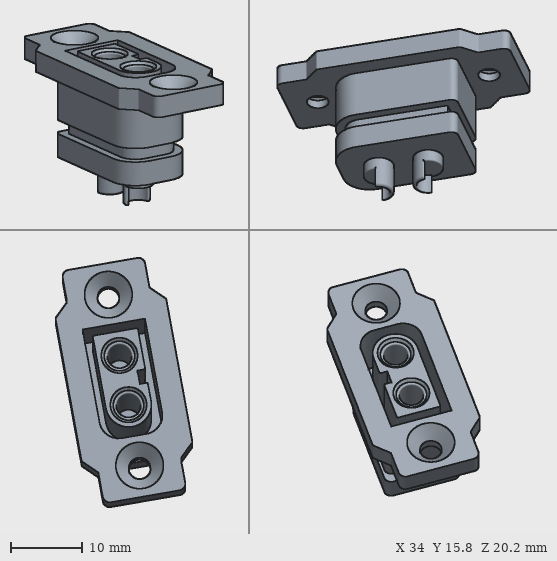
import cadquery as cq

flange_thickness = 3.1
groove_top = -10.1
groove_bottom = -12.1
body_bottom = -15.57
pin_step = -17.35
pin_bottom = -20.2

flange_length = 34
flange_width = 15.8
ear_width = 11.75
ear_corner_radius = 1.0
shoulder_radius = 0.3
shoulder_run = (flange_width - ear_width) / 2

mount_hole_spacing = 25.0
mount_hole_diameter = 3.05
countersink_diameter = 6.7
countersink_angle = 90
ear_root_x = mount_hole_spacing / 2

body_length = 18.5
body_width = 11.0
body_left_radius = 1.02
body_right_radius = 3.8

groove_depth = 1.3
groove_depth_left = 1.63

cavity_wall = 1.05
cavity_floor = 1.02
cavity_depth = -groove_top - cavity_floor
core_width = 6.43
core_left_x = -7.05
core_corner_radius = 0.2
key_width = 1.97
key_depth = 1.12
key_x = -0.05

pin_spacing = 7.2
pin_radius = 2.15
lead_in = 0.4
pin_top = -lead_in
socket_radius = 1.7
socket_depth = 10.2
socket_rounding = 0.2
cup_radius = 1.6
cut_rounding = 0.2
tip_rounding = 0.4
cup_rounding = 0.1

margin = 0.05


def edge_box(x_range, half_y, z_range):
    """Selector for the edges centred within a box that is symmetric about Y = 0."""
    return cq.selectors.BoxSelector(
        (x_range[0] - margin, -half_y - margin, z_range[0] - margin),
        (x_range[1] + margin, half_y + margin, z_range[1] + margin),
    )


def d_prism(left, right, width, left_radius, right_radius, top, bottom):
    """Upright prism with its own corner radius at each end (0 keeps the left corners sharp)."""
    prism = cq.Workplane("XY").box(right - left, width, top - bottom, centered=(False, True, False))
    prism = prism.translate((left, 0, bottom))
    if left_radius > 0:
        prism = prism.edges("|Z and <X").fillet(left_radius)
    return prism.edges("|Z and >X").fillet(right_radius)


def make_flange():
    half_length = flange_length / 2
    half_ear = ear_width / 2
    half_width = flange_width / 2
    shoulder_x = ear_root_x - shoulder_run
    quarter = [(shoulder_x, half_width), (ear_root_x, half_ear), (half_length, half_ear)]
    right_side = quarter + [(x, -y) for x, y in reversed(quarter)]
    outline = right_side + [(-x, -y) for x, y in right_side]
    flange = cq.Workplane("XY").polyline(outline).close().extrude(-flange_thickness)
    flange = flange.edges("|Z and (<X or >X)").fillet(ear_corner_radius)
    shoulder_edges = edge_box((-ear_root_x, ear_root_x), half_width, (-flange_thickness, 0))
    flange = flange.edges("|Z").edges(shoulder_edges).fillet(shoulder_radius)
    mount_points = [(-ear_root_x, 0), (ear_root_x, 0)]
    flange = flange.faces(">Z").workplane(origin=(0, 0, 0)).pushPoints(mount_points)
    return flange.cskHole(mount_hole_diameter, countersink_diameter, countersink_angle)


def make_body():
    half_length = body_length / 2
    body = d_prism(-half_length, half_length, body_width, body_left_radius, body_right_radius,
                   -flange_thickness, body_bottom)
    neck = d_prism(-half_length + groove_depth_left, half_length - groove_depth,
                   body_width - 2 * groove_depth, 0, body_right_radius - groove_depth,
                   groove_top, groove_bottom)
    band = cq.Workplane("XY").workplane(offset=groove_bottom).rect(flange_length, flange_width)
    band = band.extrude(groove_top - groove_bottom)
    return body.cut(band).union(neck)


def make_cavity():
    half_length = body_length / 2
    return d_prism(-half_length + cavity_wall, half_length - cavity_wall, body_width - 2 * cavity_wall,
                   0, body_right_radius - cavity_wall, 0, -cavity_depth)


def make_core():
    half_width = core_width / 2
    round_x = pin_spacing / 2
    key_left = key_x - key_width / 2
    key_right = key_x + key_width / 2
    core = (
        cq.Workplane("XY")
        .moveTo(core_left_x, -half_width)
        .lineTo(round_x, -half_width)
        .threePointArc((round_x + half_width, 0), (round_x, half_width))
        .lineTo(key_right, half_width)
        .lineTo(key_right, half_width - key_depth)
        .lineTo(key_left, half_width - key_depth)
        .lineTo(key_left, half_width)
        .lineTo(core_left_x, half_width)
        .close()
        .extrude(-cavity_depth)
    )
    key_edges = edge_box((key_left, key_right), half_width, (-cavity_depth, 0))
    core = core.edges("|Z and <X").fillet(core_corner_radius)
    return core.edges("|Z").edges(key_edges).edges(">Y").fillet(core_corner_radius)


def make_pin_hole(x):
    mouth_radius = pin_radius + lead_in
    profile = [(0, 0), (mouth_radius, 0), (pin_radius, pin_top), (pin_radius, body_bottom), (0, body_bottom)]
    hole = cq.Workplane("XZ").polyline(profile).close().revolve(360, (0, 0, 0), (0, 1, 0))
    return hole.translate((x, 0, 0))


def make_housing(pin_positions):
    housing = make_flange().union(make_body()).cut(make_cavity()).union(make_core())
    for x in pin_positions:
        housing = housing.cut(make_pin_hole(x))
    return housing


def make_contact_blank():
    """Round pin with a blind socket in its top and a rounded tip."""
    blank = cq.Workplane("XY").workplane(offset=pin_bottom).circle(pin_radius).extrude(pin_top - pin_bottom)
    socket = cq.Workplane("XY").workplane(offset=pin_top).circle(socket_radius).extrude(-socket_depth)
    blank = blank.cut(socket)
    blank = blank.faces(">Z").edges(cq.selectors.RadiusNthSelector(0)).fillet(socket_rounding)
    return blank.faces("<Z").edges().fillet(tip_rounding)


def cut_tail_to_half(pin):
    """Remove the -X half of the tail and round the edges of the cut."""
    removed_half = cq.Workplane("XY").box(
        2 * pin_radius, 4 * pin_radius, pin_step - pin_bottom, centered=(True, True, False)
    )
    pin = pin.cut(removed_half.translate((-pin_radius, 0, pin_bottom)))
    cut_edges = edge_box((-pin_radius, 0), pin_radius, (pin_bottom, pin_step))
    return pin.edges(cut_edges).edges("not(|Y)").fillet(cut_rounding)


def hollow_solder_cup(pin):
    """Hollow the half-round tail up to the step and round the rim of the hollow."""
    cup = cq.Workplane("XY").workplane(offset=pin_bottom).circle(cup_radius).extrude(pin_step - pin_bottom)
    pin = pin.cut(cup)
    half_tail_height = (pin_bottom + pin_step) / 2
    rim_edges = edge_box((0, cup_radius), cup_radius, (pin_bottom, half_tail_height))
    return pin.edges(rim_edges).fillet(cup_rounding)


def make_pin(x):
    """Contact pin whose solder cup opens away from the other pin."""
    pin = hollow_solder_cup(cut_tail_to_half(make_contact_blank()))
    if x > 0:
        pin = pin.mirror("YZ")
    return pin.translate((x, 0, 0))


pin_positions = [-pin_spacing / 2, pin_spacing / 2]
housing = make_housing(pin_positions)
pins = [make_pin(x) for x in pin_positions]

result = cq.Compound.makeCompound([housing.solids().val(), *[pin.solids().val() for pin in pins]])